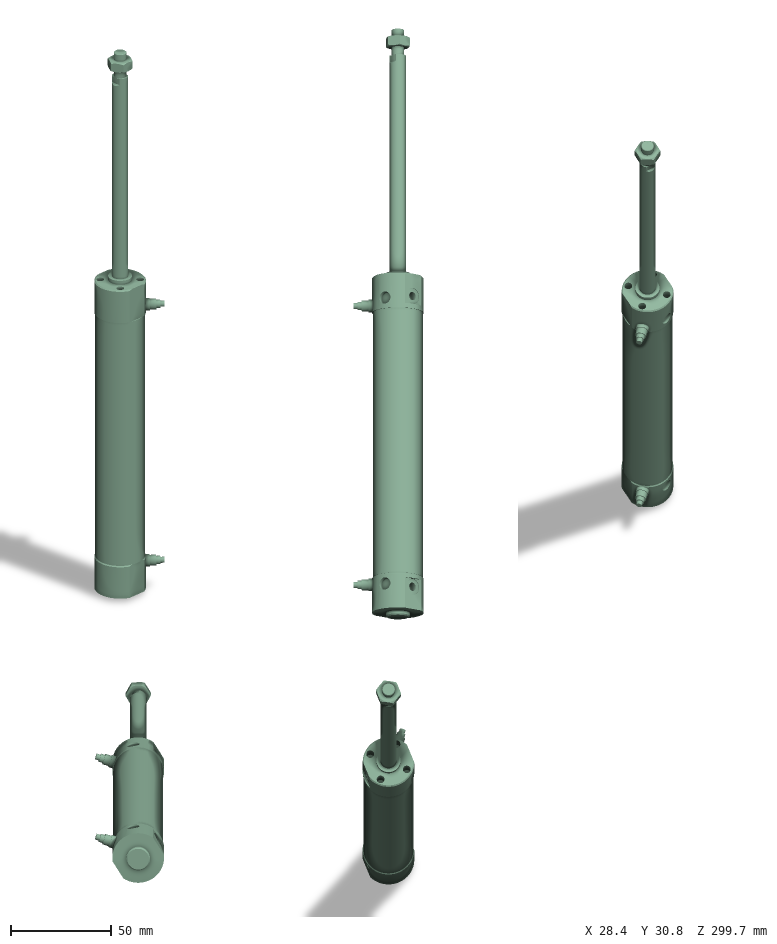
import cadquery as cq
import math

TOTAL_LENGTH = 299.7

HEAD_DIAMETER = 25.8
HEAD_HEIGHT = 18.0
HEAD_CHAMFER = 0.5
BARREL_DIAMETER = 25.0
BOSS_DIAMETER = 12.0
BOSS_HEIGHT = 2.0
REAR_BOSS_CHAMFER = 0.5
REAR_HEAD_BOTTOM = BOSS_HEIGHT
REAR_HEAD_TOP = REAR_HEAD_BOTTOM + HEAD_HEIGHT
FRONT_HEAD_BOTTOM = 155.3
FRONT_HEAD_TOP = FRONT_HEAD_BOTTOM + HEAD_HEIGHT
HOUSING_TOP = FRONT_HEAD_TOP + BOSS_HEIGHT

FLAT_WIDTH = 10.2
FLAT_OFFSET = math.sqrt((HEAD_DIAMETER / 2) ** 2 - (FLAT_WIDTH / 2) ** 2)
PORT_FLAT_LENGTH = 15.5
PORT_ANGLE = 180.0
PORT_FROM_FACE = 11.5
PORT_SPOTFACE_DIAMETER = 8.0
PORT_SPOTFACE_DEPTH = 0.3
PORT_DIAMETER = 4.2
PORT_DEPTH = 4.5

MOUNT_SPACING = 14.0
MOUNT_DIAMETER = 4.0
MOUNT_DEPTH = 7.5
DRILL_POINT_HEIGHT = 1.2

SIDE_HOLE_ANGLE = 110.0
SIDE_HOLE_DIAMETER = 6.3
SIDE_HOLE_DEPTH = 3.0
SIDE_HOLE_FROM_FACE = 12.5

VALVE_ANGLE = 49.7
VALVE_FROM_FACE = 14.5
VALVE_SEAT_RADIUS = 10.0
VALVE_COLLAR_DIAMETER = 6.3
VALVE_STEPS = ((VALVE_COLLAR_DIAMETER, 14.7), (5.5, 18.0), (4.2, 20.0), (3.0, 22.2))

ROD_DIAMETER = 8.0
ROD_BOTTOM = FRONT_HEAD_BOTTOM
ROD_SHOULDER = 286.5
THREAD_DIAMETER = 6.3
THREAD_CHAMFER = 0.3
WRENCH_FLATS_WIDTH = 6.3
WRENCH_FLATS_HEIGHT = 3.3

NUT_ACROSS_FLATS = 11.0
NUT_ACROSS_CORNERS = NUT_ACROSS_FLATS / math.cos(math.pi / 6)
NUT_FACE_DIAMETER = 10.8
NUT_THICKNESS = 5.0
NUT_BOTTOM = 290.7


def axial_cylinder(diameter, bottom, top):
    return cq.Workplane("XY").workplane(offset=bottom).circle(diameter / 2).extrude(top - bottom)


def radial_cylinder(angle, height, diameter, inner_radius, outer_radius):
    """A cylinder whose axis points away from the Z axis."""
    cylinder = cq.Workplane("YZ").workplane(offset=inner_radius).circle(diameter / 2)
    cylinder = cylinder.extrude(outer_radius - inner_radius)
    return cylinder.rotate((0, 0, 0), (0, 0, 1), angle).translate((0, 0, height))


def make_valve(height):
    valve = cq.Workplane("XY")
    inner_radius = VALVE_SEAT_RADIUS
    for diameter, outer_radius in VALVE_STEPS:
        valve = valve.union(radial_cylinder(VALVE_ANGLE, height, diameter, inner_radius, outer_radius))
        inner_radius = outer_radius
    return valve


def flat_cutter(side, face, length):
    """The slice removed from a head on its +X or -X side; a negative length runs down from the face."""
    slice_width = HEAD_DIAMETER / 2 - FLAT_OFFSET
    middle_x = side * (FLAT_OFFSET + slice_width / 2)
    cutter = cq.Workplane("XY").box(slice_width, HEAD_DIAMETER, abs(length))
    return cutter.translate((middle_x, 0, face + length / 2))


def cut_head_side(housing, face, inward):
    """Cut the flats, port and radial holes of a head; inward is the Z direction from its end face."""
    housing = housing.cut(flat_cutter(-1, face, inward * PORT_FLAT_LENGTH))
    housing = housing.cut(flat_cutter(1, face, inward * HEAD_HEIGHT))

    port_height = face + inward * PORT_FROM_FACE
    spotface_floor = FLAT_OFFSET - PORT_SPOTFACE_DEPTH
    housing = housing.cut(
        radial_cylinder(PORT_ANGLE, port_height, PORT_SPOTFACE_DIAMETER, spotface_floor, FLAT_OFFSET)
    )
    housing = housing.cut(
        radial_cylinder(PORT_ANGLE, port_height, PORT_DIAMETER, FLAT_OFFSET - PORT_DEPTH, FLAT_OFFSET)
    )

    side_hole_height = face + inward * SIDE_HOLE_FROM_FACE
    side_hole_floor = HEAD_DIAMETER / 2 - SIDE_HOLE_DEPTH
    housing = housing.cut(
        radial_cylinder(
            SIDE_HOLE_ANGLE, side_hole_height, SIDE_HOLE_DIAMETER, side_hole_floor, HEAD_DIAMETER
        )
    )
    valve_height = face + inward * VALVE_FROM_FACE
    return housing.cut(
        radial_cylinder(
            VALVE_ANGLE, valve_height, VALVE_COLLAR_DIAMETER, VALVE_SEAT_RADIUS, HEAD_DIAMETER
        )
    )


def cut_mounting_holes(housing):
    radius = MOUNT_DIAMETER / 2
    floor = FRONT_HEAD_TOP - MOUNT_DEPTH
    hole = (
        cq.Workplane("XZ")
        .moveTo(0, FRONT_HEAD_TOP)
        .lineTo(radius, FRONT_HEAD_TOP)
        .lineTo(radius, floor)
        .lineTo(0, floor - DRILL_POINT_HEIGHT)
        .close()
        .revolve(360, (0, 0, 0), (0, 1, 0))
    )
    for x in (-MOUNT_SPACING / 2, MOUNT_SPACING / 2):
        for y in (-MOUNT_SPACING / 2, MOUNT_SPACING / 2):
            housing = housing.cut(hole.translate((x, y, 0)))
    return housing


def make_housing():
    rear_head = axial_cylinder(HEAD_DIAMETER, REAR_HEAD_BOTTOM, REAR_HEAD_TOP)
    rear_head = rear_head.faces(">Z").edges().chamfer(HEAD_CHAMFER)
    front_head = axial_cylinder(HEAD_DIAMETER, FRONT_HEAD_BOTTOM, FRONT_HEAD_TOP)
    front_head = front_head.faces(">Z").edges().chamfer(HEAD_CHAMFER)
    barrel = axial_cylinder(BARREL_DIAMETER, REAR_HEAD_TOP, FRONT_HEAD_BOTTOM)
    bosses = axial_cylinder(BOSS_DIAMETER, 0, HOUSING_TOP)
    bosses = bosses.faces("<Z").edges().chamfer(REAR_BOSS_CHAMFER)
    housing = barrel.union(rear_head).union(front_head).union(bosses)
    housing = cut_head_side(housing, REAR_HEAD_BOTTOM, 1)
    housing = cut_head_side(housing, FRONT_HEAD_TOP, -1)
    housing = cut_mounting_holes(housing)
    return housing.cut(axial_cylinder(ROD_DIAMETER, ROD_BOTTOM, HOUSING_TOP))


def make_rod():
    shank = axial_cylinder(ROD_DIAMETER, ROD_BOTTOM, ROD_SHOULDER)
    flat_y = WRENCH_FLATS_WIDTH / 2
    surface_y = ROD_DIAMETER / 2
    flat_bottom = ROD_SHOULDER - WRENCH_FLATS_HEIGHT
    cutter = (
        cq.Workplane("YZ")
        .moveTo(flat_y, ROD_SHOULDER)
        .lineTo(flat_y, flat_bottom)
        .lineTo(surface_y, flat_bottom - (surface_y - flat_y))
        .lineTo(surface_y, ROD_SHOULDER)
        .close()
        .extrude(ROD_DIAMETER / 2, both=True)
    )
    shank = shank.cut(cutter).cut(cutter.mirror("XZ"))
    thread = axial_cylinder(THREAD_DIAMETER, ROD_SHOULDER, TOTAL_LENGTH)
    thread = thread.faces(">Z").edges().chamfer(THREAD_CHAMFER)
    return shank.union(thread)


def make_nut():
    """A hexagon with corners on the Y axis, its corners turned down at 30 degrees on both faces."""
    blank = cq.Workplane("XY").polygon(6, NUT_ACROSS_CORNERS).extrude(NUT_THICKNESS)
    blank = blank.rotate((0, 0, 0), (0, 0, 1), 90)
    corner_radius = NUT_ACROSS_CORNERS / 2
    face_radius = NUT_FACE_DIAMETER / 2
    corner_drop = (corner_radius - face_radius) * math.tan(math.pi / 6)
    turned = (
        cq.Workplane("XZ")
        .lineTo(face_radius, 0)
        .lineTo(corner_radius, corner_drop)
        .lineTo(corner_radius, NUT_THICKNESS - corner_drop)
        .lineTo(face_radius, NUT_THICKNESS)
        .lineTo(0, NUT_THICKNESS)
        .close()
        .revolve(360, (0, 0, 0), (0, 1, 0))
    )
    nut = blank.intersect(turned).translate((0, 0, NUT_BOTTOM))
    return nut.cut(axial_cylinder(THREAD_DIAMETER, NUT_BOTTOM, NUT_BOTTOM + NUT_THICKNESS))


housing = make_housing()
rod = make_rod()
nut = make_nut()
valve_heights = (REAR_HEAD_BOTTOM + VALVE_FROM_FACE, FRONT_HEAD_TOP - VALVE_FROM_FACE)
valves = [make_valve(height) for height in valve_heights]

result = cq.Compound.makeCompound(
    [housing.val(), rod.val(), nut.val(), *[valve.val() for valve in valves]]
)